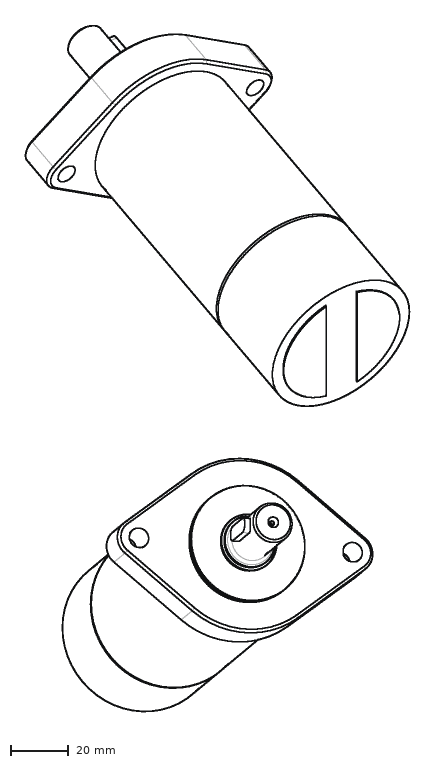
import cadquery as cq
import math

total_length = 169.1
shaft_end = -total_length / 2
root_fillet_start = shaft_end + 28.0
seal_front = shaft_end + 29.3
seal_step = shaft_end + 30.5
pilot_front = shaft_end + 31.6
flange_front = shaft_end + 34.7
flange_back = shaft_end + 50.5
body_front = shaft_end + 52.5
joint_front = shaft_end + 131.9
joint_back = shaft_end + 132.9
end_pad_height = 0.5
body_back = total_length / 2 - end_pad_height

shaft_diameter = 14.0
seal_front_diameter = 18.1
seal_diameter = 20.0
pilot_diameter = 41.0
pilot_groove_diameter = 40.0
collar_diameter = 48.2
joint_diameter = 50.2
body_diameter = 56.0
end_pad_diameter = 47.3

shaft_chamfer = 0.8
root_fillet = seal_front - root_fillet_start
pilot_lip_width = 0.8

flange_length = 92.0
flange_diameter = 62.0
flange_tip_radius = 7.0
flange_chamfer = 1.0
mount_hole_spacing = 77.0
mount_hole_diameter = 7.0

key_front = shaft_end + 4.5
key_length = 18.0
key_width = 5.0
key_top = 9.0
key_bottom = 6.0

centre_diameter = 3.7
centre_pilot_diameter = 1.7
centre_depth = 4.2

end_slot_width = 12.5


def cylinder(diameter, start, end):
    """Cylinder on the X axis between two positions."""
    return cq.Workplane("YZ", origin=(start, 0, 0)).circle(diameter / 2).extrude(end - start)


def make_shaft():
    """Chamfered shaft, flaring through a concave fillet into the seal."""
    radius = shaft_diameter / 2
    root_radius = radius + root_fillet
    diagonal = root_fillet * math.sqrt(0.5)
    return (
        cq.Workplane("XY")
        .moveTo(shaft_end, 0)
        .lineTo(shaft_end, radius - shaft_chamfer)
        .lineTo(shaft_end + shaft_chamfer, radius)
        .lineTo(root_fillet_start, radius)
        .threePointArc(
            (root_fillet_start + diagonal, root_radius - diagonal),
            (seal_front, root_radius),
        )
        .lineTo(flange_front, root_radius)
        .lineTo(flange_front, 0)
        .close()
        .revolve(360, (0, 0, 0), (1, 0, 0))
    )


def make_key():
    """Round-ended key standing out of the shaft."""
    return (
        cq.Workplane("XZ", origin=(key_front + key_length / 2, key_top, 0))
        .slot2D(key_length, key_width)
        .extrude(key_top - key_bottom)
    )


def make_flange():
    """Large disc joined by tangent lines to two small tip arcs, chamfered on both faces."""
    radius = flange_diameter / 2
    tip_end = flange_length / 2
    tip_centre = tip_end - flange_tip_radius
    tangent_angle = math.acos((radius - flange_tip_radius) / tip_centre)
    main_y = radius * math.cos(tangent_angle)
    main_z = radius * math.sin(tangent_angle)
    tip_y = tip_centre + flange_tip_radius * math.cos(tangent_angle)
    tip_z = flange_tip_radius * math.sin(tangent_angle)
    plate = (
        cq.Workplane("YZ", origin=(flange_front, 0, 0))
        .moveTo(main_y, main_z)
        .threePointArc((0, radius), (-main_y, main_z))
        .lineTo(-tip_y, tip_z)
        .threePointArc((-tip_end, 0), (-tip_y, -tip_z))
        .lineTo(-main_y, -main_z)
        .threePointArc((0, -radius), (main_y, -main_z))
        .lineTo(tip_y, -tip_z)
        .threePointArc((tip_end, 0), (tip_y, tip_z))
        .close()
        .extrude(flange_back - flange_front)
        .faces("<X or >X")
        .chamfer(flange_chamfer)
    )
    holes = (
        cq.Workplane("YZ", origin=(flange_front, 0, 0))
        .pushPoints([(-mount_hole_spacing / 2, 0), (mount_hole_spacing / 2, 0)])
        .circle(mount_hole_diameter / 2)
        .extrude(flange_back - flange_front)
    )
    return plate.cut(holes)


def make_centre_drilling():
    """Small blind hole with a 60 degree countersink."""
    mouth_radius = centre_diameter / 2
    pilot_radius = centre_pilot_diameter / 2
    cone_depth = (mouth_radius - pilot_radius) / math.tan(math.radians(30))
    return (
        cq.Workplane("XY")
        .moveTo(shaft_end, 0)
        .lineTo(shaft_end, mouth_radius)
        .lineTo(shaft_end + cone_depth, pilot_radius)
        .lineTo(shaft_end + centre_depth, pilot_radius)
        .lineTo(shaft_end + centre_depth, 0)
        .close()
        .revolve(360, (0, 0, 0), (1, 0, 0))
    )


def make_end_pads():
    """Thin rear disc split into two pads by a slot along Z."""
    disc = cylinder(end_pad_diameter, body_back, body_back + end_pad_height)
    slot = (
        cq.Workplane("YZ", origin=(body_back, 0, 0))
        .rect(end_slot_width, end_pad_diameter)
        .extrude(end_pad_height)
    )
    return disc.cut(slot)


turned_steps = [
    (seal_front_diameter, seal_front, seal_step),
    (seal_diameter, seal_step, pilot_front),
    (pilot_diameter, pilot_front, pilot_front + pilot_lip_width),
    (pilot_groove_diameter, pilot_front + pilot_lip_width, flange_front - pilot_lip_width),
    (pilot_diameter, flange_front - pilot_lip_width, flange_front),
    (collar_diameter, flange_back, body_front),
    (body_diameter, body_front, joint_front),
    (joint_diameter, joint_front, joint_back),
    (body_diameter, joint_back, body_back),
]

result = make_shaft().union(make_key()).union(make_flange())
for diameter, start, end in turned_steps:
    result = result.union(cylinder(diameter, start, end))
result = result.union(make_end_pads()).cut(make_centre_drilling())